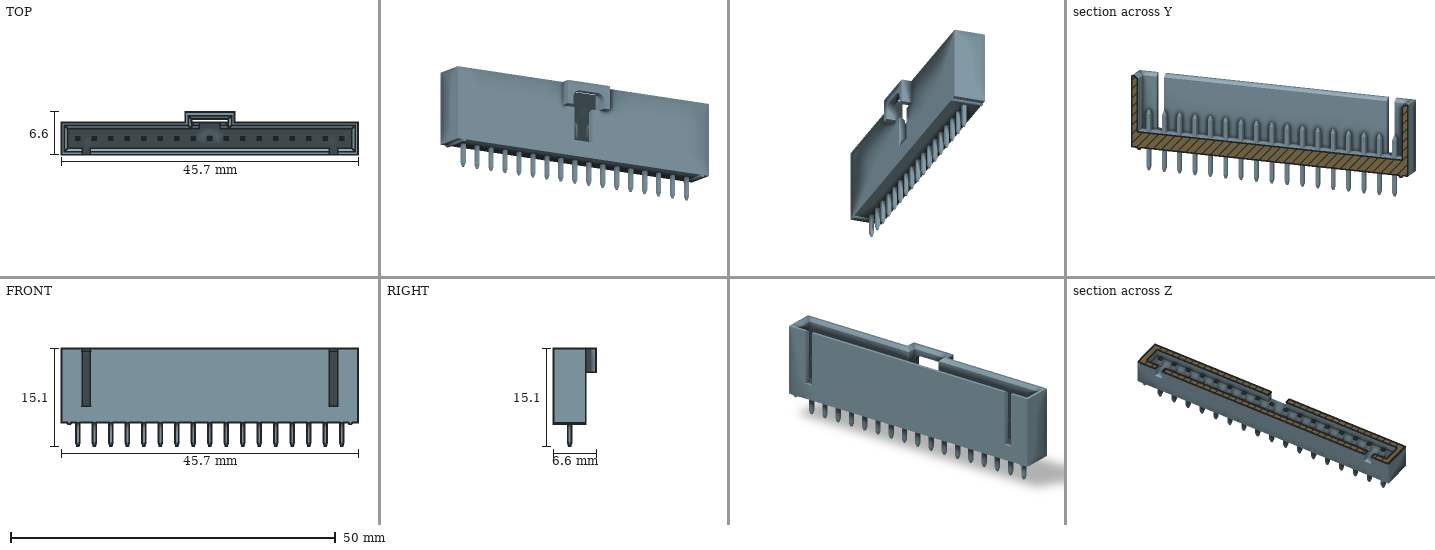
import cadquery as cq

pitch = 2.54
pin_count = 17
pin_size = 0.59
pin_tip_size = 0.25
pin_taper = 0.6
pin_tail = 3.68
pin_height = 6.0

housing_length = (pin_count + 1) * pitch
housing_width = 5.0
housing_height = 4.5 * pitch
wall = 1.0
cavity_depth = 3.5 * pitch
floor_height = housing_height - cavity_depth
lead_in_width = 0.55
lead_in_depth = 0.45

bump_length = 3 * pitch
bump_projection = 1.6
bump_height = 3.7
bump_inner_length = bump_length - 2 * wall
bump_wall = 1.1
low_wall_top = housing_height - bump_height
key_notch_length = 3.2
window_height = 2.3
window_corner_radius = 1.2

slot_width = pitch / 2
slot_offset = (pin_count - 2) * pitch / 2

rib_radius = 0.3
rib_offset = 21.65

housing_back = housing_width / 2
bump_back = housing_back + bump_projection


def block(length, y_min, y_max, z_min, z_max, x_center=0):
    """Box centred on x_center, between the given Y and Z limits."""
    box = cq.Workplane("XY").box(length, y_max - y_min, z_max - z_min, centered=(True, False, False))
    return box.translate((x_center, y_min, z_min))


def lead_in(length, y_min, y_max, z_top):
    """Frustum that bevels the mouth of a pocket with the given plan size."""
    y_center = (y_min + y_max) / 2
    width = y_max - y_min
    return (
        cq.Workplane("XY", origin=(0, y_center, z_top - lead_in_depth))
        .rect(length, width)
        .workplane(offset=lead_in_depth)
        .rect(length + 2 * lead_in_width, width + 2 * lead_in_width)
        .loft(ruled=True)
    )


def low_wall_bevel(inner_back):
    """Wedge that bevels the inner top edge of the low wall inside the bump."""
    return (
        cq.Workplane("YZ", origin=(-bump_inner_length / 2, inner_back, low_wall_top))
        .polyline([(0, 0), (lead_in_width, 0), (0, -lead_in_depth)])
        .close()
        .extrude(bump_inner_length)
    )


def bump_window():
    """Opening through the outer wall of the bump, rounded at its upper corners."""
    window_top = low_wall_top + window_height
    window = block(bump_inner_length, housing_back, bump_back, low_wall_top, window_top)
    return window.edges("|Y and >Z").fillet(window_corner_radius)


def make_housing():
    inner_length = housing_length - 2 * wall
    inner_back = housing_back - wall
    bump_inner_back = bump_back - bump_wall

    body = block(housing_length, -housing_back, housing_back, 0, housing_height)
    body = body.union(block(bump_length, inner_back, bump_back, low_wall_top, housing_height))

    body = body.cut(block(inner_length, -inner_back, inner_back, floor_height, housing_height))
    body = body.cut(lead_in(inner_length, -inner_back, inner_back, housing_height))

    body = body.cut(block(bump_inner_length, 0, bump_inner_back, low_wall_top, housing_height))
    body = body.cut(lead_in(bump_inner_length, 0, bump_inner_back, housing_height))

    body = body.cut(low_wall_bevel(inner_back))
    body = body.cut(block(key_notch_length, 0, housing_back, floor_height, housing_height))
    body = body.cut(bump_window())

    for x in (-slot_offset, slot_offset):
        body = body.cut(block(slot_width, -housing_back, 0, floor_height, housing_height, x))
    return body


def make_rib(x):
    """Round bar along Y whose lower half stands below the housing."""
    return cq.Workplane("XZ", origin=(x, housing_back, 0)).circle(rib_radius).extrude(housing_width)


def make_pin(x):
    """Square pin tapered at both ends."""
    half_length = (pin_height + pin_tail) / 2
    half_pin = (
        cq.Workplane("XY").rect(pin_size, pin_size).extrude(half_length - pin_taper)
        .faces(">Z").workplane().rect(pin_size, pin_size)
        .workplane(offset=pin_taper).rect(pin_tip_size, pin_tip_size).loft(ruled=True)
    )
    pin = half_pin.union(half_pin.mirror("XY"))
    return pin.translate((x, 0, half_length - pin_tail))


result = make_housing()
for rib_x in (-rib_offset, rib_offset):
    result = result.union(make_rib(rib_x))
for index in range(pin_count):
    result = result.union(make_pin((index - (pin_count - 1) / 2) * pitch))